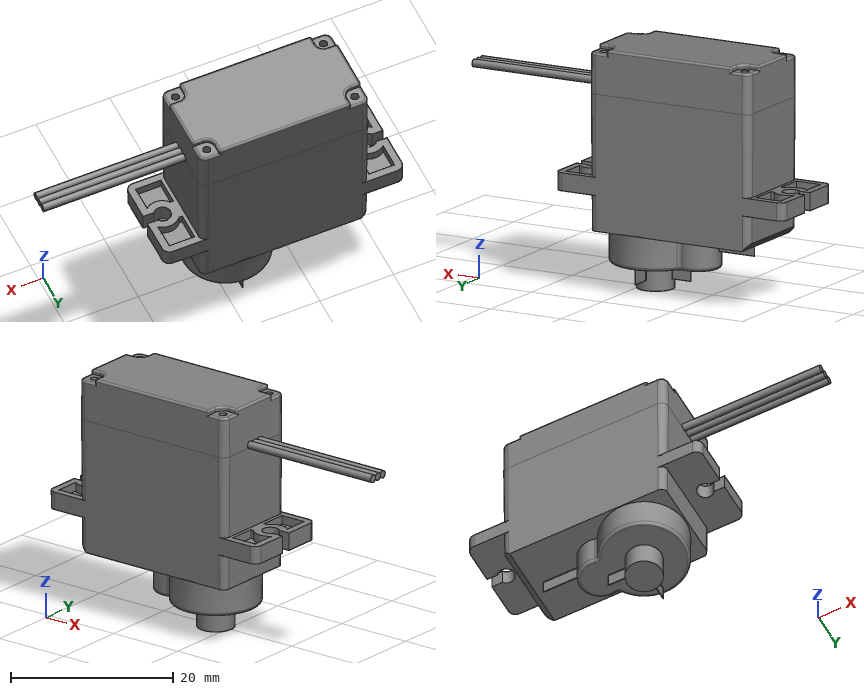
import cadquery as cq
import math


case_length = 22.9
case_width = 12.0
case_corner_radius = 1.0
lid_height = 5.7
case_depth = 17.45
draft_angle = 0.5
draft_slope = math.tan(math.radians(draft_angle))
end_chamfer = 1.0

screw_offset_x = 10.05
screw_offset_y = 4.6
screw_hole_diameter = 1.0
screw_hole_depth = 2.0
recess_radius = 1.13
recess_depth = 0.55
lid_edge_radius = 0.3

floor_rim = 0.45
selection_margin = 0.05
selection_reach = 0.45

flange_length = 32.5
flange_top = -10.6
flange_thickness = 2.3
flange_bottom = flange_top - flange_thickness
flange_corner_radius = 1.0
mount_hole_diameter = 2.15
mount_hole_inset = 2.35
mount_hole_x = flange_length / 2 - mount_hole_inset
mount_slot_width = 1.25
pocket_depth = 1.13
pocket_rim = 1.0
pocket_length = 3.4
pocket_inner_y = 1.3
mount_boss_radius = 2.1

gear_x = 5.35
gear_radius = 5.75
housing_spacing = 6.05
idler_x = gear_x - housing_spacing
idler_radius = 2.95
gearbox_height = 4.3
gearbox_junction_radius = 0.5
gearbox_edge_radius = 0.38
gearbox_bottom = -case_depth - gearbox_height

shaft_diameter = 4.75
shaft_length = 3.35
fin_length = 5.0
fin_height = 2.0
fin_thickness = 0.1
case_fin_start_x = -8.7

wire_count = 3
wire_diameter = 1.0
total_length = 46.9
wire_z = 0.38
wire_end_x = total_length - flange_length / 2


def tapered_block(height):
    """Rounded block that rises or falls from the parting plane and narrows away from it."""
    outline = cq.Sketch().rect(case_length, case_width).vertices().fillet(case_corner_radius)
    return cq.Workplane("XY").placeSketch(outline).extrude(height, taper=draft_angle)


def make_lid():
    """Upper part of the case with stepped corners, rounded edges and screw holes."""
    lid = tapered_block(lid_height)
    floor_z = lid_height - recess_depth
    recess_size = case_length
    inner_x = screw_offset_x - recess_radius
    inner_y = screw_offset_y - recess_radius
    for side_x in (-1, 1):
        for side_y in (-1, 1):
            inner_corner = (side_x * inner_x, side_y * inner_y, floor_z)
            recess = (
                cq.Workplane("XY", origin=(0, 0, floor_z))
                .center(side_x * (inner_x + recess_size / 2), side_y * (inner_y + recess_size / 2))
                .rect(recess_size, recess_size)
                .extrude(2 * recess_depth)
                .edges("|Z")
                .edges(cq.selectors.NearestToPointSelector(inner_corner))
                .fillet(recess_radius)
            )
            lid = lid.cut(recess)
    half_length = case_length / 2
    half_width = case_width / 2
    top_edges = cq.selectors.BoxSelector(
        (-half_length, -half_width, floor_z - selection_margin),
        (half_length, half_width, lid_height + selection_margin),
    )
    inner_length = half_length - floor_rim
    inner_width = half_width - floor_rim
    inner_floor_edges = cq.selectors.BoxSelector(
        (-inner_length, -inner_width, floor_z - selection_margin),
        (inner_length, inner_width, floor_z + selection_margin),
    )
    lid = lid.edges(top_edges - inner_floor_edges).fillet(lid_edge_radius)
    screw_holes = (
        cq.Workplane("XY", origin=(0, 0, floor_z))
        .rect(2 * screw_offset_x, 2 * screw_offset_y, forConstruction=True)
        .vertices()
        .circle(screw_hole_diameter / 2)
        .extrude(-screw_hole_depth)
    )
    return lid.cut(screw_holes)


def make_lower_case():
    """Lower part of the case, with its bottom edge cut at 45 degrees at the -X end."""
    end_x = -case_length / 2 + case_depth * draft_slope
    bottom_z = -case_depth
    wedge = (
        cq.Workplane("XZ", origin=(0, case_width / 2, 0))
        .polyline([
            (end_x - end_chamfer, bottom_z + 2 * end_chamfer),
            (end_x - end_chamfer, bottom_z),
            (end_x + end_chamfer, bottom_z),
        ])
        .close()
        .extrude(case_width)
    )
    return tapered_block(-case_depth).cut(wedge)


def make_mounting_flange():
    """Flange through the case, with a slotted screw hole and two pockets at each end."""
    half_top = case_width / 2 + flange_top * draft_slope
    half_bottom = case_width / 2 + flange_bottom * draft_slope
    flange = (
        cq.Workplane("YZ", origin=(-flange_length / 2, 0, 0))
        .polyline([
            (-half_top, flange_top),
            (half_top, flange_top),
            (half_bottom, flange_bottom),
            (-half_bottom, flange_bottom),
        ])
        .close()
        .extrude(flange_length)
        .edges("(<X or >X) and (not |Y)")
        .fillet(flange_corner_radius)
    )
    pocket_width = half_top - pocket_rim - pocket_inner_y
    pocket_x = flange_length / 2 - pocket_rim - pocket_length / 2
    pocket_y = pocket_inner_y + pocket_width / 2
    pocket_plane = cq.Workplane("XY", origin=(0, 0, flange_top))
    for side in (-1, 1):
        boss = pocket_plane.center(side * mount_hole_x, 0).circle(mount_boss_radius).extrude(-pocket_depth)
        pockets = (
            pocket_plane.pushPoints([(side * pocket_x, pocket_y), (side * pocket_x, -pocket_y)])
            .rect(pocket_length, pocket_width)
            .extrude(-pocket_depth)
            .cut(boss)
        )
        hole = (
            pocket_plane.center(side * mount_hole_x, 0)
            .circle(mount_hole_diameter / 2)
            .extrude(-flange_thickness)
        )
        slot = (
            pocket_plane.center(side * flange_length / 2, 0)
            .rect(2 * mount_hole_inset, mount_slot_width)
            .extrude(-flange_thickness)
        )
        flange = flange.cut(pockets).cut(hole).cut(slot)
    return flange


def make_gearbox():
    """Two drafted round housings, blended where they meet and rounded below."""
    plane = cq.Workplane("XY", origin=(0, 0, -case_depth))
    gear_housing = plane.center(gear_x, 0).circle(gear_radius).extrude(-gearbox_height, taper=draft_angle)
    idler_housing = plane.center(idler_x, 0).circle(idler_radius).extrude(-gearbox_height, taper=draft_angle)
    gearbox = gear_housing.union(idler_housing)
    junction_x = gear_x - (housing_spacing**2 + gear_radius**2 - idler_radius**2) / (
        2 * housing_spacing
    )
    junction_edges = cq.selectors.BoxSelector(
        (junction_x - selection_reach, -gear_radius, gearbox_bottom + selection_margin),
        (junction_x + selection_reach, gear_radius, -case_depth - selection_margin),
    )
    gearbox = gearbox.edges(junction_edges).fillet(gearbox_junction_radius)
    return gearbox.faces("<Z").edges().fillet(gearbox_edge_radius)


def make_output_shaft():
    """Plain round shaft below the larger gearbox housing."""
    return (
        cq.Workplane("XY", origin=(gear_x, 0, gearbox_bottom))
        .circle(shaft_diameter / 2)
        .extrude(-shaft_length)
    )


def make_fins():
    """Thin upright fins: two radial ones beside the shaft and one under the case."""
    gearbox_plane = cq.Workplane("XY", origin=(gear_x, 0, gearbox_bottom))
    shaft_fin_x = gearbox_plane.center(-fin_length / 2, 0).rect(fin_length, fin_thickness).extrude(-fin_height)
    shaft_fin_y = gearbox_plane.center(0, fin_length / 2).rect(fin_thickness, fin_length).extrude(-fin_height)
    case_fin = (
        cq.Workplane("XY", origin=(case_fin_start_x + fin_length / 2, 0, -case_depth))
        .rect(fin_length, fin_thickness)
        .extrude(-fin_height)
    )
    return [shaft_fin_x, shaft_fin_y, case_fin]


def make_servo_case():
    """Complete moulded servo body."""
    servo = make_lid().union(make_lower_case())
    for feature in [make_mounting_flange(), make_gearbox(), make_output_shaft(), *make_fins()]:
        servo = servo.union(feature)
    return servo.clean()


def make_wire(index, servo):
    """One straight round wire, starting flush on the case end wall."""
    wire_y = (index - (wire_count - 1) / 2) * wire_diameter
    return (
        cq.Workplane("YZ", origin=(0, wire_y, wire_z))
        .circle(wire_diameter / 2)
        .extrude(wire_end_x)
        .cut(servo)
    )


servo_case = make_servo_case()
wires = [make_wire(index, servo_case) for index in range(wire_count)]

result = cq.Compound.makeCompound([servo_case.val(), *[wire.val() for wire in wires]])